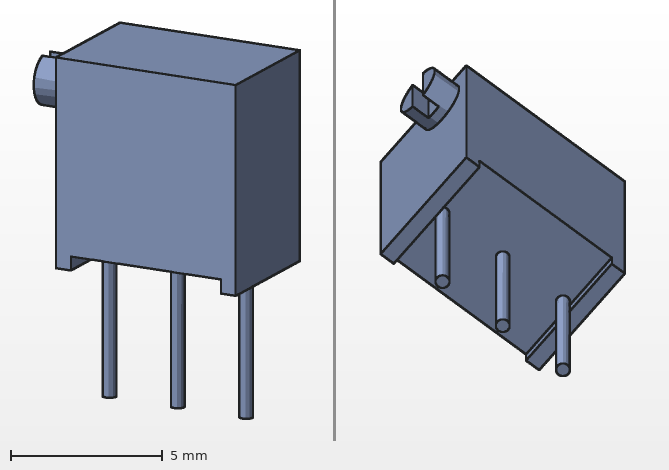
import cadquery as cq

total_height = 12.12
body_length = 6.7
body_width = 4.5
body_height = 7.25

foot_length = 0.56
foot_height = 0.48

screw_diameter = 1.78
screw_length = 1.03
screw_offset_y = -0.98
screw_drop = 1.2
slot_width = 0.53
slot_depth = 0.67

pin_diameter = 0.46
pin_pitch = 2.55

body_bottom = total_height - body_height
recess_top = body_bottom + foot_height
middle_x = body_length / 2
screw_z = total_height - screw_drop


def make_housing():
    """Box with a recess running through its underside along Y."""
    block = cq.Workplane("XY").box(
        body_length, body_width, body_height, centered=(False, True, False)
    )
    recess = cq.Workplane("XY").box(
        body_length - 2 * foot_length, body_width, foot_height, centered=(False, True, False)
    )
    return block.cut(recess.translate((foot_length, 0, 0))).translate((0, 0, body_bottom))


def make_screw():
    """Round screw head with a vertical screwdriver slot across its end."""
    head = cq.Workplane("YZ").circle(screw_diameter / 2).extrude(-screw_length)
    slot = cq.Workplane("XY").box(
        slot_depth, slot_width, screw_diameter, centered=(False, True, True)
    )
    head = head.cut(slot.translate((-screw_length, 0, 0)))
    return head.translate((0, screw_offset_y, screw_z))


def make_pins():
    """Straight round pins reaching from the recess down to Z = 0."""
    pin_centres = [(middle_x + step * pin_pitch, 0) for step in (-1, 0, 1)]
    return cq.Workplane("XY").pushPoints(pin_centres).circle(pin_diameter / 2).extrude(recess_top)


result = make_housing().union(make_screw()).union(make_pins())